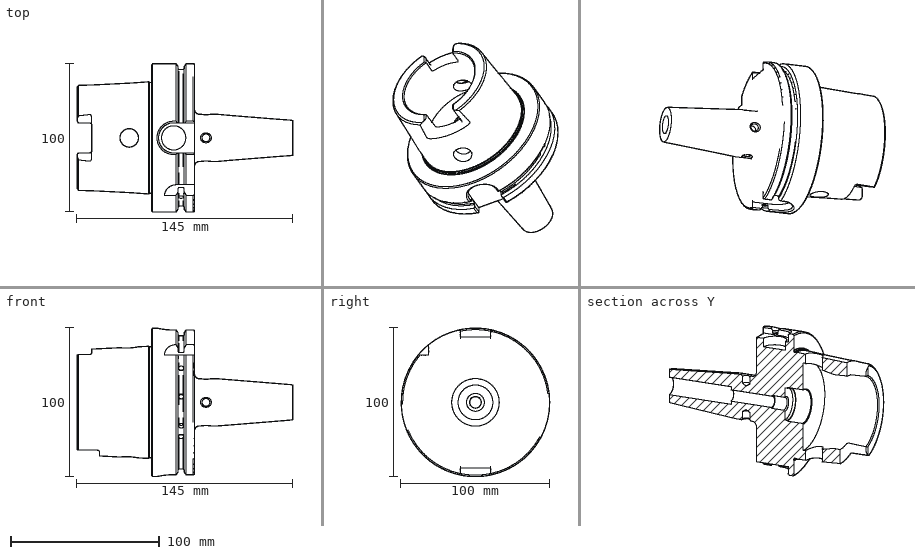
import cadquery as cq
import math


shank_length = 50.0
taper_ratio = 9.98
taper_end_x = -2.1
taper_big_radius = 37.8
shank_end_chamfer_length = 1.0
shank_end_chamfer_height = 1.2
neck_radius = 37.4
neck_start_x = -1.2

undercut_radius = 1.0
undercut_depth = 0.3
contact_face_inner_radius = 39.0

flange_radius = 50.0
flange_width = 29.0
flange_face_chamfer = 0.8
flange_end_fillet = 1.0

groove_center_x = 19.9
groove_mouth_width = 6.8
groove_floor_width = 4.0
groove_floor_radius = 46.0
groove_flank_depth = 2.0
groove_fillet = 0.7

nose_radius = 16.0
nose_end_radius = 12.0
nose_taper_start = 44.0
nose_end_x = 95.0
nose_end_chamfer_length = 1.3
nose_end_chamfer_height = 0.3
nose_root_fillet = 3.0

cavity_radius = 26.7
cavity_chamfer = 0.8
cavity_throat_radius = 25.8
cavity_throat_depth = 19.7
cavity_floor_radius = 30.8
cavity_depth = 43.0
tube_seat_radius = 11.7
tube_seat_depth = 12.0
tube_seat_chamfer = 0.5
tube_tip_radius = 11.2
tube_tip_depth = 2.0
stop_hole_radius = 4.4
stop_hole_chamfer = 0.8
stop_hole_depth = 10.0
coolant_hole_radius = 3.8
tool_bore_radius = 6.0
tool_bore_depth = 47.0

keyway_half_width = 10.0
keyway_top = 32.2
keyway_depth_above = 9.8
keyway_depth_below = 15.0
tenon_corner_radius = 4.8
keyway_floor_fillet = 1.4
keyway_mouth_chamfer_length = 0.7
keyway_mouth_chamfer_width = 1.2

access_hole_diameter = 12.3
access_hole_x = -15.0

slot_floor_height = 44.0
slot_half_width = 10.15
slot_end_center_x = 14.9
slot_edge_chamfer = 1.1
slot_rim_level = 46.0
slot_rim_reach = 12.0
seat_diameter = 16.3
seat_depth = 6.0

notch_floor_height = 31.7
notch_wall_offset = 31.5
notch_cutter_radius = 8.0
notch_center_x = 16.6

groove_hole_angles = (30.0, 5.0, -20.0, -30.0)
groove_hole_diameter = 3.3
groove_hole_depth = 5.0

screw_hole_x = 36.6
screw_hole_diameter = 5.2
screw_hole_mouth_diameter = 7.3
screw_hole_depth = 6.0
screw_hole_count = 4

drill_point_angle = 118.0

shank_end_x = -shank_length
floor_x = shank_end_x + cavity_depth


def turned(outline):
    """Turn a closed (X, radius) outline about the X axis."""
    return outline.close().revolve(360, (0, 0, 0), (1, 0, 0))


def taper_radius(x):
    return taper_big_radius - (taper_end_x - x) / taper_ratio / 2


def make_shank():
    chamfer_end_x = shank_end_x + shank_end_chamfer_length
    return turned(
        cq.Workplane("XZ")
        .moveTo(shank_end_x, 0)
        .lineTo(shank_end_x, taper_radius(shank_end_x) - shank_end_chamfer_height)
        .lineTo(chamfer_end_x, taper_radius(chamfer_end_x))
        .lineTo(taper_end_x, taper_big_radius)
        .lineTo(neck_start_x, neck_radius)
        .lineTo(flange_width / 2, neck_radius)
        .lineTo(flange_width / 2, 0)
    )


def make_undercut():
    start_x = undercut_depth - undercut_radius
    return turned(
        cq.Workplane("XZ")
        .moveTo(start_x, neck_radius)
        .radiusArc((undercut_depth, neck_radius + undercut_radius), -undercut_radius)
        .lineTo(0, contact_face_inner_radius)
        .lineTo(start_x, contact_face_inner_radius)
    )


def make_nose():
    root_x = flange_width + nose_root_fillet
    return turned(
        cq.Workplane("XZ")
        .moveTo(flange_width / 2, 0)
        .lineTo(flange_width / 2, nose_radius + nose_root_fillet)
        .lineTo(flange_width, nose_radius + nose_root_fillet)
        .radiusArc((root_x, nose_radius), -nose_root_fillet)
        .lineTo(nose_taper_start, nose_radius)
        .lineTo(nose_end_x - nose_end_chamfer_length, nose_end_radius)
        .lineTo(nose_end_x, nose_end_radius - nose_end_chamfer_height)
        .lineTo(nose_end_x, 0)
    )


def open_slot(floor_z, end_x, end_y, radius):
    """Slot cutter with its axis along Z: round at its -X end, running out of the flange towards +X."""
    run_out = flange_width + 1
    return (
        cq.Workplane("XY", origin=(end_x, end_y, floor_z))
        .moveTo(run_out, -radius)
        .lineTo(0, -radius)
        .threePointArc((-radius, 0), (0, radius))
        .lineTo(run_out, radius)
        .close()
        .extrude(flange_radius)
    )


def make_flange():
    blank = cq.Workplane("YZ").circle(flange_radius).extrude(flange_width)
    slot = open_slot(slot_floor_height, slot_end_center_x, 0, slot_half_width)
    blank = blank.cut(slot).cut(slot.rotate((0, 0, 0), (1, 0, 0), 180))
    for side in (1, -1):
        rim_low, rim_high = sorted((side * slot_rim_level, side * 2 * flange_radius))
        rim = cq.selectors.BoxSelector(
            (0, -slot_rim_reach, rim_low), (flange_width - 1, slot_rim_reach, rim_high)
        )
        blank = blank.edges(rim).chamfer(slot_edge_chamfer)
        floor_end = (flange_width, 0, side * slot_floor_height)
        blank = blank.edges(cq.NearestToPointSelector(floor_end)).fillet(flange_end_fillet)
    return blank


def make_flange_envelope():
    mouth = groove_mouth_width / 2
    wall = groove_floor_width / 2
    flank_radius = flange_radius - groove_flank_depth
    fillet_top = groove_floor_radius + groove_fillet
    fillet_start_x = flange_width - flange_end_fillet
    return turned(
        cq.Workplane("XZ")
        .moveTo(0, 0)
        .lineTo(0, flange_radius - flange_face_chamfer)
        .lineTo(flange_face_chamfer, flange_radius)
        .lineTo(groove_center_x - mouth, flange_radius)
        .lineTo(groove_center_x - wall, flank_radius)
        .lineTo(groove_center_x - wall, fillet_top)
        .radiusArc((groove_center_x - wall + groove_fillet, groove_floor_radius), -groove_fillet)
        .lineTo(groove_center_x + wall - groove_fillet, groove_floor_radius)
        .radiusArc((groove_center_x + wall, fillet_top), -groove_fillet)
        .lineTo(groove_center_x + wall, flank_radius)
        .lineTo(groove_center_x + mouth, flange_radius)
        .lineTo(fillet_start_x, flange_radius)
        .radiusArc((flange_width, flange_radius - flange_end_fillet), flange_end_fillet)
        .lineTo(flange_width, 0)
    )


def make_bore():
    seat_end_x = floor_x + tube_seat_depth
    tip_end_x = seat_end_x + tube_tip_depth
    stop_hole_end_x = tip_end_x + stop_hole_depth
    tool_stop_x = nose_end_x - tool_bore_depth
    return turned(
        cq.Workplane("XZ")
        .moveTo(shank_end_x, 0)
        .lineTo(shank_end_x, cavity_radius + cavity_chamfer)
        .lineTo(shank_end_x + cavity_chamfer, cavity_radius)
        .lineTo(shank_end_x + cavity_throat_depth, cavity_throat_radius)
        .lineTo(floor_x, cavity_floor_radius)
        .lineTo(floor_x, tube_seat_radius + tube_seat_chamfer)
        .lineTo(floor_x + tube_seat_chamfer, tube_seat_radius)
        .lineTo(seat_end_x, tube_seat_radius)
        .lineTo(seat_end_x, tube_tip_radius)
        .lineTo(tip_end_x, tube_tip_radius)
        .lineTo(tip_end_x, stop_hole_radius + stop_hole_chamfer)
        .lineTo(tip_end_x + stop_hole_chamfer, stop_hole_radius)
        .lineTo(stop_hole_end_x, stop_hole_radius)
        .lineTo(stop_hole_end_x, coolant_hole_radius)
        .lineTo(tool_stop_x, coolant_hole_radius)
        .lineTo(tool_stop_x, tool_bore_radius)
        .lineTo(nose_end_x, tool_bore_radius)
        .lineTo(nose_end_x, 0)
    )


def make_keyway_mouth():
    """Wedge that widens the keyway at the shank end face."""
    mouth = keyway_half_width + keyway_mouth_chamfer_width
    inner_x = shank_end_x + keyway_mouth_chamfer_length
    return (
        cq.Workplane("XY")
        .moveTo(shank_end_x, -mouth)
        .lineTo(shank_end_x, mouth)
        .lineTo(inner_x, keyway_half_width)
        .lineTo(inner_x, -keyway_half_width)
        .close()
        .extrude(keyway_top)
    )


def make_keyway(depth):
    """Keyway cutter on the +Z side: a slot that flares over the rounded tenon corners."""
    flare = keyway_half_width + tenon_corner_radius
    corner_z = keyway_top - tenon_corner_radius
    top_z = flange_radius
    cutter = (
        cq.Workplane("YZ", origin=(shank_end_x, 0, 0))
        .moveTo(-keyway_half_width, 0)
        .lineTo(-keyway_half_width, corner_z)
        .radiusArc((-flare, keyway_top), -tenon_corner_radius)
        .lineTo(-top_z, keyway_top)
        .lineTo(-top_z, top_z)
        .lineTo(top_z, top_z)
        .lineTo(top_z, keyway_top)
        .lineTo(flare, keyway_top)
        .radiusArc((keyway_half_width, corner_z), -tenon_corner_radius)
        .lineTo(keyway_half_width, 0)
        .close()
        .extrude(depth)
    )
    floor_edges = cutter.faces(">X").edges(
        cq.selectors.BoxSelector((-flange_radius, -flare - 1, 1), (0, flare + 1, keyway_top))
    )
    return floor_edges.fillet(keyway_floor_fillet).union(make_keyway_mouth())


def around_axis(tool, x, angle):
    """Place a tool made along -Y at the given X and turn it from -Y towards +Z."""
    return tool.translate((x, 0, 0)).rotate((0, 0, 0), (1, 0, 0), -angle)


def drilled_hole(surface_radius, diameter, depth):
    """Blind drilled hole entering a round surface at -Y."""
    radius = diameter / 2
    bottom = surface_radius - depth
    tip = bottom - radius / math.tan(math.radians(drill_point_angle / 2))
    entry = surface_radius + 1
    return (
        cq.Workplane("XY")
        .moveTo(0, -tip)
        .lineTo(radius, -bottom)
        .lineTo(radius, -entry)
        .lineTo(0, -entry)
        .close()
        .revolve(360, (0, 0, 0), (0, 1, 0))
    )


def countersink(surface_radius, mouth_diameter):
    """90 degree countersink in a round surface at -Y."""
    mouth = mouth_diameter / 2
    base = cq.Vector(0, -surface_radius - mouth, 0)
    return cq.Workplane(cq.Solid.makeCone(2 * mouth, 0, 2 * mouth, base, cq.Vector(0, 1, 0)))


body = make_flange().intersect(make_flange_envelope())
body = body.union(make_shank()).union(make_nose())
body = body.cut(make_undercut()).cut(make_bore())

body = body.cut(make_keyway(keyway_depth_above))
body = body.cut(make_keyway(keyway_depth_below).rotate((0, 0, 0), (1, 0, 0), 180))

access_hole = cq.Workplane("XY").center(access_hole_x, 0).circle(access_hole_diameter / 2)
body = body.cut(access_hole.extrude(flange_radius, both=True))

seat_plane = cq.Workplane("XY").workplane(offset=slot_floor_height - seat_depth)
seat = seat_plane.center(slot_end_center_x, 0).circle(seat_diameter / 2).extrude(2 * seat_depth)
body = body.cut(seat)

notch_center_y = -notch_wall_offset - notch_cutter_radius
body = body.cut(open_slot(notch_floor_height, notch_center_x, notch_center_y, notch_cutter_radius))

groove_hole = drilled_hole(groove_floor_radius, groove_hole_diameter, groove_hole_depth)
for hole_angle in groove_hole_angles:
    body = body.cut(around_axis(groove_hole, groove_center_x, hole_angle))

screw_hole = drilled_hole(nose_radius, screw_hole_diameter, screw_hole_depth)
screw_hole = screw_hole.union(countersink(nose_radius, screw_hole_mouth_diameter))
for index in range(screw_hole_count):
    body = body.cut(around_axis(screw_hole, screw_hole_x, index * 360 / screw_hole_count))

result = body